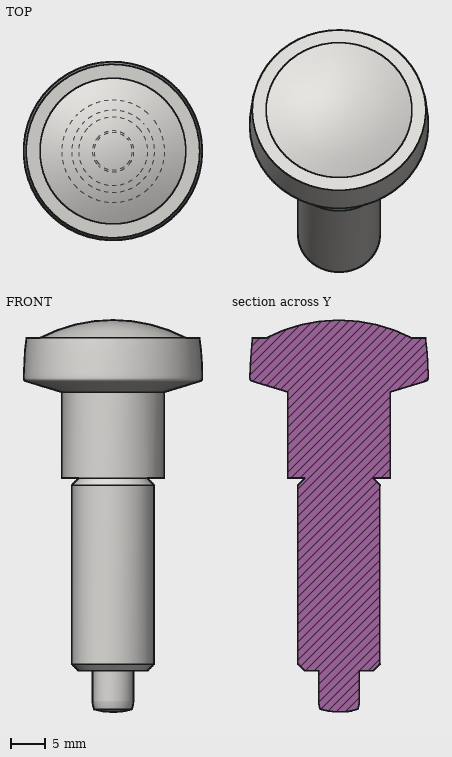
import cadquery as cq
import math


pin_d = 6.0
pin_nose_d = 5.5
pin_length = 6.0
pin_nose_height = 1.6
pin_crown_height = 0.4
pin_nose_bulge = 0.06

body_d = 12.0
body_length = 28.0
body_chamfer = 1.0

sleeve_d = 14.93
sleeve_length = 12.5

knob_d = 26.0
knob_face_d = 25.2
dome_d = 21.2
dome_height = 2.6
knob_side_height = 5.5
knob_band_height = 0.35
knob_edge_radius = 0.5
overall_height = 57.0

body_bottom = pin_length
body_top = body_bottom + body_length
sleeve_top = body_top + sleeve_length
knob_face = overall_height - dome_height
band_top = knob_face - knob_side_height
band_bottom = band_top - knob_band_height


def sphere_radius(base_d, height):
    """Radius of the sphere whose cap has the given base diameter and height."""
    return ((base_d / 2) ** 2 + height**2) / (2 * height)


def cap_point(base_d, height):
    """Radius and rise above the base of the cap point halfway out to its edge."""
    radius = sphere_radius(base_d, height)
    r = base_d / 4
    return r, math.sqrt(radius**2 - r**2) - (radius - height)


def side_point():
    """Midpoint of the bowed knob side, an arc tangent to the vertical band."""
    inset = (knob_d - knob_face_d) / 2
    radius = (inset**2 + knob_side_height**2) / (2 * inset)
    rise = knob_side_height / 2
    return knob_d / 2 - radius + math.sqrt(radius**2 - rise**2), band_top + rise


def underside_round():
    """Midpoint and end of the edge round, tangent to the band and the underside cone."""
    centre_r = knob_d / 2 - knob_edge_radius
    dr = centre_r - sleeve_d / 2
    dz = sleeve_top - band_bottom
    to_centre = math.atan2(-dz, dr)
    cone_angle = to_centre - math.asin(knob_edge_radius / math.hypot(dr, dz))
    end_angle = cone_angle - math.pi / 2

    def on_round(angle):
        return (
            centre_r + knob_edge_radius * math.cos(angle),
            band_bottom + knob_edge_radius * math.sin(angle),
        )

    return on_round(end_angle / 2), on_round(end_angle)


def half_profile():
    """Closed outline from the axis at the pin tip, up the outside and back to the axis."""
    crown_r, crown_rise = cap_point(pin_nose_d, pin_crown_height)
    dome_r, dome_rise = cap_point(dome_d, dome_height)
    round_mid, round_end = underside_round()
    nose_mid_r = (pin_d + pin_nose_d) / 4 + pin_nose_bulge
    nose_mid_z = (pin_crown_height + pin_nose_height) / 2
    body_end_r = body_d / 2 - body_chamfer
    return (
        cq.Workplane("XZ")
        .moveTo(0, 0)
        .threePointArc((crown_r, pin_crown_height - crown_rise), (pin_nose_d / 2, pin_crown_height))
        .threePointArc((nose_mid_r, nose_mid_z), (pin_d / 2, pin_nose_height))
        .lineTo(pin_d / 2, body_bottom)
        .lineTo(body_end_r, body_bottom)
        .lineTo(body_d / 2, body_bottom + body_chamfer)
        .lineTo(body_d / 2, body_top - body_chamfer)
        .lineTo(body_end_r, body_top)
        .lineTo(sleeve_d / 2, body_top)
        .lineTo(sleeve_d / 2, sleeve_top)
        .lineTo(*round_end)
        .threePointArc(round_mid, (knob_d / 2, band_bottom))
        .lineTo(knob_d / 2, band_top)
        .threePointArc(side_point(), (knob_face_d / 2, knob_face))
        .lineTo(dome_d / 2, knob_face)
        .threePointArc((dome_r, knob_face + dome_rise), (0, overall_height))
        .close()
    )


result = half_profile().revolve(360, (0, 0, 0), (0, 1, 0))